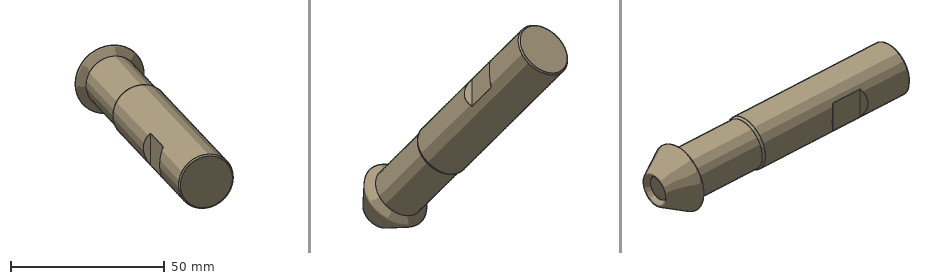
import cadquery as cq
import math

total_length = 101.6

head_radius = 11.95
crown_x = 10.45
corner_radius = 0.8
front_angle = math.radians(30)

tip_radius = 0.65
recess_angle = math.radians(33)
recess_depth = 1.7

neck_radius = 9.0
shank_radius = 19.05 / 2
step_end = 39.3
step_angle = math.radians(30)
end_chamfer = 0.5

flat_start = 69.85
flat_length = 11.65
flat_depth = 1.85


def on_circle(center, radius, angle):
    """Point (x, r) on a corner rounding, at an angle measured from the +X direction."""
    return (center[0] + radius * math.cos(angle), center[1] + radius * math.sin(angle))


front_normal = front_angle + math.pi / 2
back_normal = front_angle
recess_normal = -recess_angle - math.pi / 2

outer_center = (crown_x, head_radius - corner_radius)
outer_front = on_circle(outer_center, corner_radius, front_normal)
outer_crown = (crown_x, head_radius)
outer_back = on_circle(outer_center, corner_radius, back_normal)

tip_outer_x = tip_radius * (1 + math.cos(front_normal))
tip_outer_r = outer_front[1] - (outer_front[0] - tip_outer_x) * math.tan(front_angle)
tip_center = (tip_radius, tip_outer_r - tip_radius * math.sin(front_normal))
tip_outer = (tip_outer_x, tip_outer_r)
tip_crown = (0, tip_center[1])
tip_inner = on_circle(tip_center, tip_radius, recess_normal)

spigot_radius = tip_inner[1] - (recess_depth - tip_inner[0]) * math.tan(recess_angle)
head_back = outer_back[0] + (outer_back[1] - neck_radius) * math.tan(front_angle)


def revolve_about_x(profile):
    return profile.close().revolve(360, (0, 0, 0), (1, 0, 0))


def make_head():
    profile = (
        cq.Workplane("XY")
        .moveTo(recess_depth, spigot_radius)
        .lineTo(*tip_inner)
        .threePointArc(tip_crown, tip_outer)
        .lineTo(*outer_front)
        .threePointArc(outer_crown, outer_back)
        .lineTo(head_back, neck_radius)
        .lineTo(head_back, spigot_radius)
    )
    return revolve_about_x(profile)


def make_flat_cutter():
    """Trapezoid prism that opens outward at 45 degrees from the floor of the flat."""
    floor_y = flat_depth - shank_radius
    flat_end = flat_start + flat_length
    return (
        cq.Workplane("XY")
        .moveTo(flat_start, floor_y)
        .lineTo(flat_end, floor_y)
        .lineTo(flat_end + flat_depth, -shank_radius)
        .lineTo(flat_start - flat_depth, -shank_radius)
        .close()
        .extrude(shank_radius, both=True)
    )


def make_shank():
    """Spigot filling the head's bore, then neck, step and clamping shank."""
    step_start = step_end - (shank_radius - neck_radius) / math.tan(step_angle)
    profile = (
        cq.Workplane("XY")
        .moveTo(recess_depth, 0)
        .lineTo(recess_depth, spigot_radius)
        .lineTo(head_back, spigot_radius)
        .lineTo(head_back, neck_radius)
        .lineTo(step_start, neck_radius)
        .lineTo(step_end, shank_radius)
        .lineTo(total_length - end_chamfer, shank_radius)
        .lineTo(total_length, shank_radius - end_chamfer)
        .lineTo(total_length, 0)
    )
    return revolve_about_x(profile).cut(make_flat_cutter())


head = make_head()
shank = make_shank()
result = cq.Compound.makeCompound([head.val(), shank.val()])